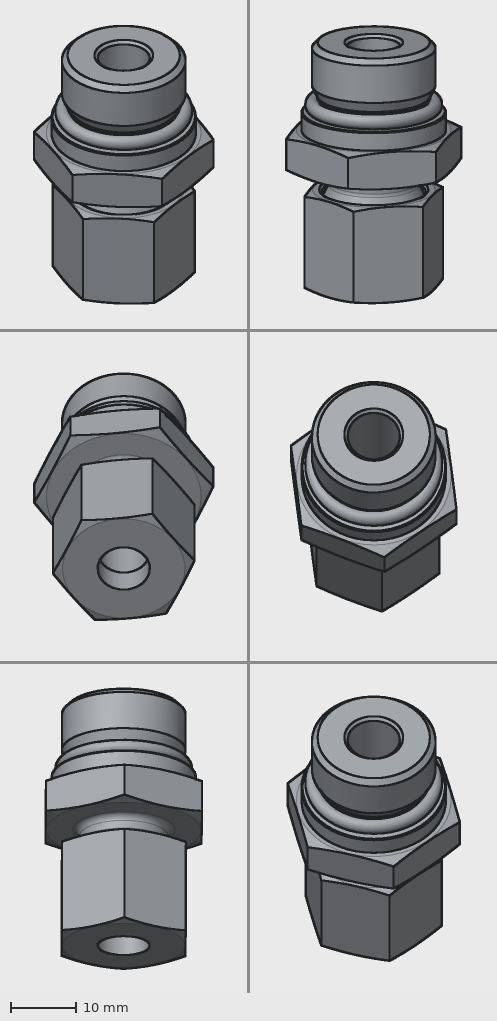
import cadquery as cq
import math

TOTAL_HEIGHT = 39.0
HEX_ROTATION = 7.5
HEX_CHAMFER_ANGLE = 15.0

NUT_ACROSS_FLATS = 19.0
NUT_CHAMFER_DIAMETER = 18.8
NUT_HEIGHT = 15.4
NUT_OPENING_DIAMETER = 16.77

BORE_DIAMETER = 8.0
BORE_CHAMFER = 0.5
SHANK_DIAMETER = 16.0
SHANK_DEPTH = 10.92
NECK_DIAMETER = 13.7
NECK_FILLET = 1.0
FLARE_FILLET = 1.25
NECK_FLARE_ANGLE = 25.0
NECK_BOTTOM = 16.75
HEX_ACROSS_FLATS = 24.0
HEX_CHAMFER_DIAMETER = 23.75
HEX_BOTTOM = 19.0
HEX_HEIGHT = 5.95
COLLAR_DIAMETER = 22.2
COLLAR_HEIGHT = 2.95
COLLAR_CHAMFER = 0.15
STUD_DIAMETER = 19.05
STUD_CHAMFER = 0.9
STUD_BOTTOM = 32.15
STUD_NECK_DIAMETER = 17.45
STUD_CONE_HEIGHT = 1.68

GROOVE_DIAMETER = 16.55
RING_SECTION = 2.25

HEX_TOP = HEX_BOTTOM + HEX_HEIGHT
COLLAR_TOP = HEX_TOP + COLLAR_HEIGHT
GROOVE_TOP = COLLAR_TOP + RING_SECTION
SHANK_END = NUT_HEIGHT - SHANK_DEPTH


def chamfered_hexagon(across_flats, chamfer_diameter, bottom, height):
    """Hexagonal prism whose corners are cut by a cone at both ends."""
    corner_diameter = across_flats / math.cos(math.radians(30))
    prism = (
        cq.Workplane("XY", origin=(0, 0, bottom))
        .polygon(6, corner_diameter)
        .extrude(height)
        .rotate((0, 0, 0), (0, 0, 1), 30 + HEX_ROTATION)
    )
    corner_radius = corner_diameter / 2
    face_radius = chamfer_diameter / 2
    drop = (corner_radius - face_radius) * math.tan(math.radians(HEX_CHAMFER_ANGLE))
    top = bottom + height
    envelope = revolve_profile(
        cq.Workplane("XZ")
        .moveTo(0, bottom)
        .lineTo(face_radius, bottom)
        .lineTo(corner_radius, bottom + drop)
        .lineTo(corner_radius, top - drop)
        .lineTo(face_radius, top)
        .lineTo(0, top)
    )
    return prism.intersect(envelope)


def revolve_profile(open_profile):
    """Close a profile in the XZ plane and turn it about the Z axis."""
    return open_profile.close().revolve(360, (0, 0, 0), (0, 1, 0))


def cylinder(diameter, bottom, top):
    return cq.Workplane("XY", origin=(0, 0, bottom)).circle(diameter / 2).extrude(top - bottom)


def make_shank():
    """Lower spigot: shank, flared neck and the fillet under the hexagon."""
    neck_radius = NECK_DIAMETER / 2
    shank_radius = SHANK_DIAMETER / 2
    flare = math.radians(NECK_FLARE_ANGLE)
    flare_start_radius = neck_radius + FLARE_FILLET * (1 - math.cos(flare))
    flare_start = NECK_BOTTOM - FLARE_FILLET * math.sin(flare)
    arc_middle_radius = neck_radius + FLARE_FILLET * (1 - math.cos(flare / 2))
    arc_middle = NECK_BOTTOM - FLARE_FILLET * math.sin(flare / 2)
    flare_end = flare_start - (shank_radius - flare_start_radius) / math.tan(flare)
    return revolve_profile(
        cq.Workplane("XZ")
        .moveTo(0, SHANK_END)
        .lineTo(shank_radius, SHANK_END)
        .lineTo(shank_radius, flare_end)
        .lineTo(flare_start_radius, flare_start)
        .threePointArc((arc_middle_radius, arc_middle), (neck_radius, NECK_BOTTOM))
        .lineTo(neck_radius, HEX_BOTTOM - NECK_FILLET)
        .radiusArc((neck_radius + NECK_FILLET, HEX_BOTTOM), NECK_FILLET)
        .lineTo(0, HEX_BOTTOM)
    )


def make_stud():
    """Upper spigot: collar, O-ring groove, cone and chamfered stud."""
    collar = cylinder(COLLAR_DIAMETER, HEX_TOP, COLLAR_TOP).faces(">Z").chamfer(COLLAR_CHAMFER)
    stud_radius = STUD_DIAMETER / 2
    stud_neck_radius = STUD_NECK_DIAMETER / 2
    groove_radius = GROOVE_DIAMETER / 2
    stud = revolve_profile(
        cq.Workplane("XZ")
        .moveTo(0, HEX_TOP)
        .lineTo(groove_radius, HEX_TOP)
        .lineTo(groove_radius, GROOVE_TOP)
        .lineTo(stud_neck_radius, GROOVE_TOP)
        .lineTo(stud_neck_radius, STUD_BOTTOM - STUD_CONE_HEIGHT)
        .lineTo(stud_radius, STUD_BOTTOM)
        .lineTo(stud_radius, TOTAL_HEIGHT - STUD_CHAMFER)
        .lineTo(stud_radius - STUD_CHAMFER, TOTAL_HEIGHT)
        .lineTo(0, TOTAL_HEIGHT)
    )
    return collar.union(stud)


def make_fitting_body():
    hexagon = chamfered_hexagon(HEX_ACROSS_FLATS, HEX_CHAMFER_DIAMETER, HEX_BOTTOM, HEX_HEIGHT)
    solid = hexagon.union(make_shank()).union(make_stud())
    bore = cylinder(BORE_DIAMETER, SHANK_END, TOTAL_HEIGHT)
    bored = solid.cut(bore)
    bore_rim = cq.selectors.RadiusNthSelector(0)
    return bored.faces(">Z").edges(bore_rim).chamfer(BORE_CHAMFER)


def make_o_ring():
    section_radius = RING_SECTION / 2
    centre_radius = GROOVE_DIAMETER / 2 + section_radius
    ring = cq.Solid.makeTorus(centre_radius, section_radius)
    return cq.Workplane(ring.translate(cq.Vector(0, 0, COLLAR_TOP + section_radius)))


def make_union_nut():
    """Nut with a stepped hole for the shank, countersunk at the open end."""
    hexagon = chamfered_hexagon(NUT_ACROSS_FLATS, NUT_CHAMFER_DIAMETER, 0, NUT_HEIGHT)
    passage = cylinder(BORE_DIAMETER, 0, SHANK_END)
    socket = cylinder(SHANK_DIAMETER, SHANK_END, NUT_HEIGHT)
    opening_radius = NUT_OPENING_DIAMETER / 2
    countersink_depth = opening_radius - SHANK_DIAMETER / 2
    countersink = revolve_profile(
        cq.Workplane("XZ")
        .moveTo(0, NUT_HEIGHT - countersink_depth)
        .lineTo(SHANK_DIAMETER / 2, NUT_HEIGHT - countersink_depth)
        .lineTo(opening_radius, NUT_HEIGHT)
        .lineTo(0, NUT_HEIGHT)
    )
    return hexagon.cut(passage).cut(socket).cut(countersink)


fitting_body = make_fitting_body()
o_ring = make_o_ring()
union_nut = make_union_nut()

result = cq.Compound.makeCompound([fitting_body.val(), o_ring.val(), union_nut.val()])